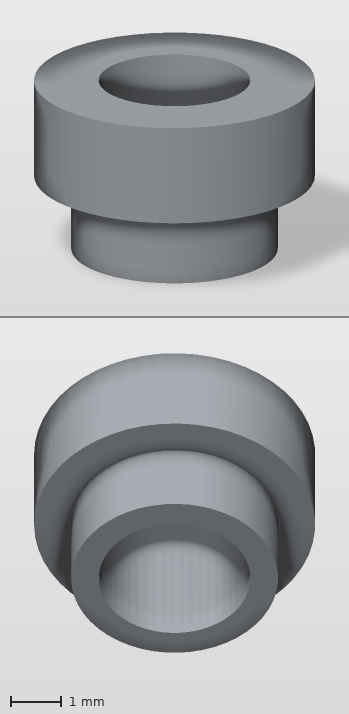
import cadquery as cq

head_diameter = 5.56
sleeve_diameter = 4.09
bore_diameter = 3.0
total_height = 3.53
head_height = 2.0
sleeve_height = total_height - head_height

sleeve = cq.Workplane("XY").circle(sleeve_diameter / 2).extrude(sleeve_height)

bushing = sleeve.faces(">Z").workplane().circle(head_diameter / 2).extrude(head_height)

result = bushing.faces(">Z").workplane().hole(bore_diameter)